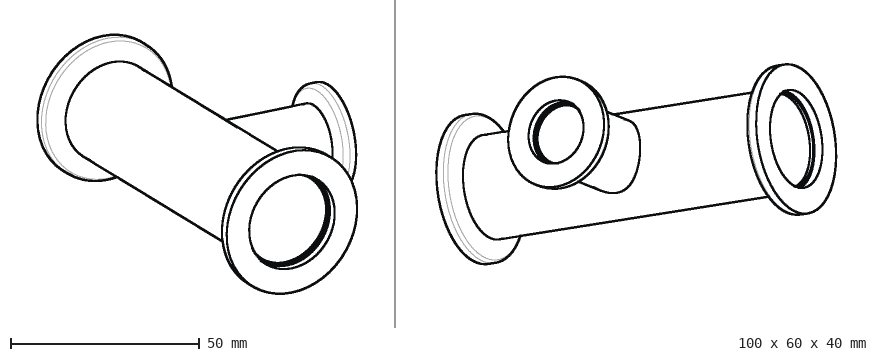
import cadquery as cq
import math

RUN_LENGTH = 100.0
RUN_OUTER_RADIUS = 14.0
RUN_BORE_RADIUS = 12.5
RUN_FLANGE_RADIUS = 20.0
RUN_FLANGE_DEPTH = 4.6
RUN_COUNTERBORE_RADIUS = 13.1
RUN_FLANGE_EDGE_RADIUS = 1.0

BRANCH_REACH = 40.0
BRANCH_OUTER_RADIUS = 10.0
BRANCH_BORE_RADIUS = 8.0
BRANCH_FLANGE_RADIUS = 15.0
BRANCH_FLANGE_DEPTH = 4.4
BRANCH_COUNTERBORE_RADIUS = 8.6
BRANCH_FLANGE_EDGE_RADIUS = 1.5

FLANGE_TAPER_ANGLE = 15.0
COUNTERBORE_DEPTH = 2.5
SOCKET_DEPTH = 3.5

run_face = RUN_LENGTH / 2
run_tube_end = run_face - SOCKET_DEPTH
branch_tube_end = BRANCH_REACH - SOCKET_DEPTH


def x_cylinder(radius, half_length):
    """Cylinder on the X axis, centred on the origin."""
    return cq.Workplane("YZ").circle(radius).extrude(half_length, both=True)


def y_cylinder(radius, length):
    """Cylinder on the Y axis, from the origin towards +Y."""
    return cq.Workplane("XZ").circle(radius).extrude(-length)


def make_flange(outer_radius, depth, tube_radius, bore_radius, counterbore_radius, edge_radius):
    """Clamp flange with its face at Z = 0 and its taper towards -Z.

    The bore is widened at the face, and a socket in the back holds the end of the tube.
    """
    taper_depth = (outer_radius - tube_radius) * math.tan(math.radians(FLANGE_TAPER_ANGLE))
    rim_depth = depth - taper_depth
    body = (
        cq.Workplane("XZ")
        .moveTo(0, 0)
        .lineTo(outer_radius, 0)
        .lineTo(outer_radius, -rim_depth)
        .lineTo(tube_radius, -depth)
        .lineTo(0, -depth)
        .close()
        .revolve(360, (0, 0), (0, 1))
    )
    rim_edge = cq.selectors.NearestToPointSelector((outer_radius, 0, -rim_depth))
    body = body.edges("%CIRCLE").edges(rim_edge).fillet(edge_radius)
    bore = cq.Workplane("XY").circle(bore_radius).extrude(-depth)
    counterbore = cq.Workplane("XY").circle(counterbore_radius).extrude(-COUNTERBORE_DEPTH)
    socket = (
        cq.Workplane("XY", origin=(0, 0, -SOCKET_DEPTH))
        .circle(tube_radius)
        .extrude(SOCKET_DEPTH - depth)
    )
    return body.cut(bore).cut(counterbore).cut(socket)


def make_tee():
    """Run tube and branch tube in one piece, with connected bores."""
    outside = x_cylinder(RUN_OUTER_RADIUS, run_tube_end).union(
        y_cylinder(BRANCH_OUTER_RADIUS, branch_tube_end)
    )
    return outside.cut(x_cylinder(RUN_BORE_RADIUS, run_tube_end)).cut(
        y_cylinder(BRANCH_BORE_RADIUS, branch_tube_end)
    )


def make_run_flange(side):
    """Flange at the +X end (side = 1) or the -X end (side = -1), facing outwards."""
    flange = make_flange(
        RUN_FLANGE_RADIUS,
        RUN_FLANGE_DEPTH,
        RUN_OUTER_RADIUS,
        RUN_BORE_RADIUS,
        RUN_COUNTERBORE_RADIUS,
        RUN_FLANGE_EDGE_RADIUS,
    )
    return flange.rotate((0, 0, 0), (0, 1, 0), side * 90).translate((side * run_face, 0, 0))


def make_branch_flange():
    """Flange at the end of the branch, facing +Y."""
    flange = make_flange(
        BRANCH_FLANGE_RADIUS,
        BRANCH_FLANGE_DEPTH,
        BRANCH_OUTER_RADIUS,
        BRANCH_BORE_RADIUS,
        BRANCH_COUNTERBORE_RADIUS,
        BRANCH_FLANGE_EDGE_RADIUS,
    )
    return flange.rotate((0, 0, 0), (1, 0, 0), -90).translate((0, BRANCH_REACH, 0))


tee = make_tee()
run_flanges = [make_run_flange(side) for side in (-1, 1)]
branch_flange = make_branch_flange()

result = cq.Compound.makeCompound(
    [
        *tee.solids().vals(),
        *[solid for flange in run_flanges for solid in flange.solids().vals()],
        *branch_flange.solids().vals(),
    ]
)